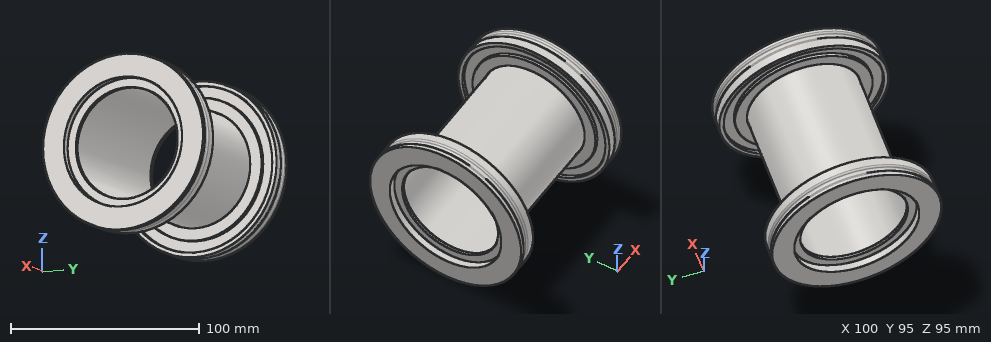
import cadquery as cq
import math

overall_length = 100.0
flange_thickness = 12.0
flange_diameter = 95.0

tube_outer_diameter = 63.5
tube_bore_diameter = 60.2

seal_recess_diameter = 70.1
seal_recess_depth = 4.5
flange_bore_diameter = 60.3
bore_lip_length = 1.8
socket_diameter = 63.8

relief_inner_diameter = 77.2
relief_outer_diameter = 89.9
relief_depth = 2.0

groove_start = 2.2
groove_width = 4.8
groove_depth = 1.35
groove_middle = groove_start + groove_width / 2
shoulder_run = groove_width / 4
shoulder_drop = groove_depth / 2
groove_radius = (shoulder_run**2 + shoulder_drop**2) / (2 * shoulder_drop)
half_sweep = math.asin(shoulder_run / groove_radius) / 2
shoulder_mid_run = groove_radius * math.sin(half_sweep)
shoulder_mid_drop = groove_radius * (1 - math.cos(half_sweep))

socket_floor = seal_recess_depth + bore_lip_length
outer_face = overall_length / 2
tube_length = overall_length - 2 * socket_floor


def axial_ring(start, length, outer_diameter, inner_diameter):
    """Plain ring along X, its near end at x = start."""
    return (
        cq.Workplane("YZ", origin=(start, 0, 0))
        .circle(outer_diameter / 2)
        .circle(inner_diameter / 2)
        .extrude(length)
    )


def rim_blank():
    """Flange disc with its bore and clamp groove, outer face at x = 0."""
    rim = flange_diameter / 2
    bore = flange_bore_diameter / 2
    groove_end = groove_start + groove_width
    return (
        cq.Workplane("XY")
        .moveTo(0, bore)
        .lineTo(0, rim)
        .lineTo(groove_start, rim)
        .threePointArc(
            (groove_start + shoulder_mid_run, rim - shoulder_mid_drop),
            (groove_start + shoulder_run, rim - shoulder_drop),
        )
        .threePointArc(
            (groove_middle, rim - groove_depth),
            (groove_end - shoulder_run, rim - shoulder_drop),
        )
        .threePointArc(
            (groove_end - shoulder_mid_run, rim - shoulder_mid_drop),
            (groove_end, rim),
        )
        .lineTo(flange_thickness, rim)
        .lineTo(flange_thickness, bore)
        .close()
        .revolve(360, (0, 0, 0), (1, 0, 0))
    )


def make_flange():
    """Flange with its outer face at x = 0 and its hub towards +X."""
    seal_recess = axial_ring(0, seal_recess_depth, seal_recess_diameter, flange_bore_diameter)
    socket_depth = flange_thickness - socket_floor
    socket = axial_ring(socket_floor, socket_depth, socket_diameter, flange_bore_diameter)
    relief = axial_ring(
        flange_thickness - relief_depth, relief_depth, relief_outer_diameter, relief_inner_diameter
    )
    return rim_blank().cut(seal_recess).cut(socket).cut(relief)


def make_tube():
    """Plain tube centred on the origin, seated on both socket floors."""
    return axial_ring(-tube_length / 2, tube_length, tube_outer_diameter, tube_bore_diameter)


flanges = []
for turn in (0, 180):
    flange = make_flange().translate((-outer_face, 0, 0)).rotate((0, 0, 0), (0, 0, 1), turn)
    flanges.append(flange)

tube = make_tube()

result = cq.Compound.makeCompound([tube.val(), *[flange.val() for flange in flanges]])